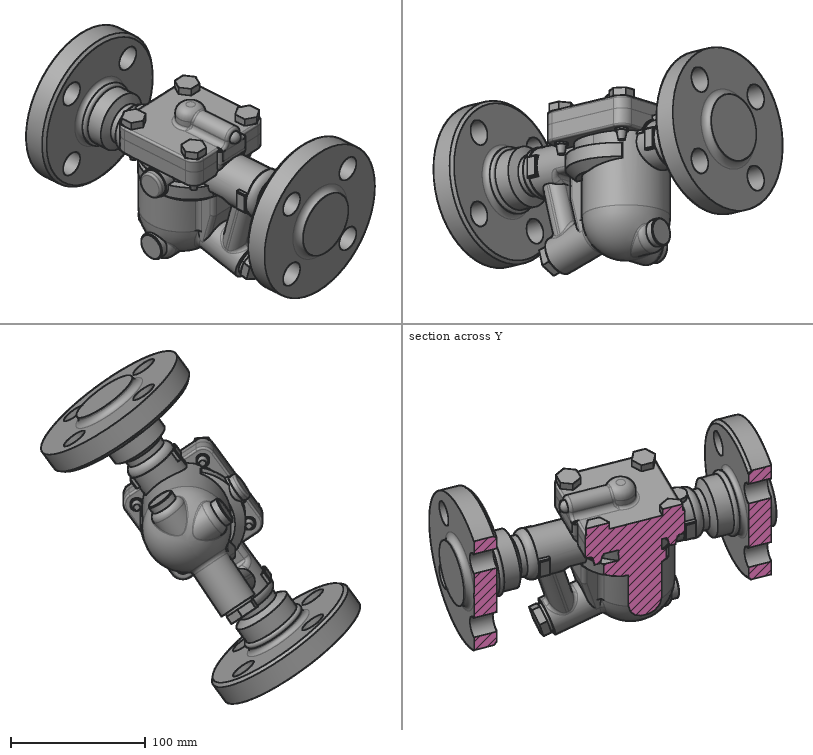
import cadquery as cq
import math


half_length = 125.0
flange_radius = 62.0
flange_outer_x = 119.0
flange_inner_x = 100.5
flange_chamfer = 2.4
raised_face_radius = 25.4
raised_face_fillet = 5.0
hub_foot_radius = 28.25
hub_groove_radius = 24.5
weld_start_x = 96.0
weld_crest_x = 94.6
weld_end_x = 91.9
hub_radius = 23.0
hub_end_x = 79.0
neck_radius = 16.0
neck_start_x = 75.3
neck_end_x = 70.4
collar_radius = 19.6
collar_end_x = 62.9
pipe_radius = 19.0
flange_hole_diameter = 19.0
flange_hole_spacing = 63.0

flat_length = 9.0
flat_height = 16.2
flat_half_span = 20.6
flat_edge_chamfer = 0.8
top_pad_width = 14.0
top_pad_top_z = 21.8
shoulder_radius = 20.0
shoulder_x = -51.2
shoulder_bottom_z = 6.0

cover_x = -10.0
cover_side = 80.0
cover_corner_radius = 9.5
cover_top_z = 32.2
cover_joint_z = 22.0
body_flange_bottom_z = 8.5
cover_edge_fillet = 1.7
bolt_spacing = 60.0
bolt_across_corners = 19.0
bolt_head_height = 6.1
bolt_turn = 30.0
bolt_boss_diameter = 10.0
bolt_boss_height = 1.5
bolt_tip_diameter = 5.0
bolt_taper_diameter = 8.0
bolt_tip_z = 0.0

dome_radius = 11.5
dome_top_z = 47.3
dome_rounding = 8.0
dome_foot_fillet = 2.4
arm_radius = 8.0
arm_axis_z = 37.3
arm_end_x = 33.7
arm_foot_fillet = 4.8
arm_end_fillet = 2.5
arm_root_fillet = 2.5
nipple_radius = 5.0

bowl_x = -18.0
bowl_radius = 33.0
bowl_bottom_z = -82.08
bowl_center_z = bowl_bottom_z + bowl_radius

seat_radius = 33.0
band_radius = 39.3
band_left_x = -38.0
band_right_x = 26.2
band_top_z = -1.3
band_bottom_z = -12.0
band_slope_end_z = -18.5
band_slope_end_radius = 31.5

column_width = 30.0
column_top_z = 30.3
column_step_z = 18.8
column_knee_z = -30.5
column_fillet = 3.4
column_blend_radius = 5.0

side_plug_z = -3.3
side_plug_diameter = 21.0
side_plug_end_y = -45.3
side_plug_fillet = 1.8
side_boss_diameter = 23.0
side_boss_end_y = -40.0

drain_z = -67.3
drain_plug_diameter = 21.0
drain_plug_reach = 35.2
drain_plug_chamfer = 0.7
drain_boss_diameter = 28.2
drain_boss_reach = 29.6
drain_boss_rounding = 6.0
drain_root_fillet = 1.5
drain_directions = ((-1, 0, 0), (0, -1, 0))

strainer_angle = 15.0
strainer_diameter = 30.0
strainer_length = 69.2
strainer_blend_radius = 4.0
cap_seat_diameter = 23.0
cap_start = 71.5
cap_end = 78.0
cap_across_corners = 25.4
bypass_x = 52.3
bypass_depth = 26.0
bypass_width = 19.0
bypass_corner_radius = 8.5
bypass_foot_fillet = 3.2
bypass_length = 67.0
window_right_x = 38.6
window_top_z = -8.5
window_fillet = 2.5
window_edge_rounding = 4.5


def cylinder(diameter, start, end, origin=(0, 0, 0), direction=(0, 0, 1)):
    """Round bar along a direction, between two distances from the origin."""
    axis = cq.Vector(*direction)
    base = cq.Vector(*origin) + axis * start
    return cq.Workplane(obj=cq.Solid.makeCylinder(diameter / 2, end - start, base, axis))


def block(x0, x1, y0, y1, z0, z1):
    """Rectangular block between two limits on each axis."""
    return cq.Workplane("XY").box(x1 - x0, y1 - y0, z1 - z0, centered=False).translate((x0, y0, z0))


def end_connection():
    """Flange, hub, neck and collar of the inlet side, as one turned profile."""
    bend = math.sqrt(0.5)
    face_fillet_x = flange_outer_x + raised_face_fillet
    face_foot_radius = raised_face_radius + raised_face_fillet
    face_mid_x = face_fillet_x - raised_face_fillet * bend
    face_mid_radius = face_foot_radius - raised_face_fillet * bend
    hub_fillet = hub_foot_radius - hub_groove_radius
    hub_fillet_x = flange_inner_x - hub_fillet
    hub_mid_x = hub_fillet_x + hub_fillet * bend
    hub_mid_radius = hub_foot_radius - hub_fillet * bend
    collar_round_x = (neck_end_x - collar_end_x) * bend + collar_end_x
    collar_round_radius = neck_radius + (collar_radius - neck_radius) * bend
    profile = (
        cq.Workplane("XY")
        .moveTo(-half_length, 0)
        .lineTo(-half_length, raised_face_radius)
        .lineTo(-face_fillet_x, raised_face_radius)
        .threePointArc((-face_mid_x, face_mid_radius), (-flange_outer_x, face_foot_radius))
        .lineTo(-flange_outer_x, flange_radius)
        .lineTo(-flange_inner_x - flange_chamfer, flange_radius)
        .lineTo(-flange_inner_x, flange_radius - flange_chamfer)
        .lineTo(-flange_inner_x, hub_foot_radius)
        .threePointArc((-hub_mid_x, hub_mid_radius), (-hub_fillet_x, hub_groove_radius))
        .lineTo(-weld_start_x, hub_groove_radius)
        .threePointArc((-weld_crest_x, raised_face_radius), (-weld_end_x, hub_radius))
        .lineTo(-hub_end_x, hub_radius)
        .lineTo(-neck_start_x, neck_radius)
        .lineTo(-neck_end_x, neck_radius)
        .threePointArc((-collar_round_x, collar_round_radius), (-collar_end_x, collar_radius))
        .lineTo(-collar_end_x, 0)
        .close()
    )
    connection = profile.revolve(360, (0, 0, 0), (1, 0, 0))
    holes = (
        cq.Workplane("YZ", origin=(-half_length, 0, 0))
        .rect(flange_hole_spacing, flange_hole_spacing, forConstruction=True)
        .vertices()
        .circle(flange_hole_diameter / 2)
        .extrude(half_length - hub_end_x)
    )
    return connection.cut(holes)


def pipe_run():
    """Both end connections joined by the pipe, with a window beside the duct column."""
    inlet = end_connection()
    outlet = inlet.mirror("YZ")
    pipe = cylinder(2 * pipe_radius, -collar_end_x, collar_end_x, direction=(1, 0, 0))
    window = block(
        band_right_x - column_fillet, window_right_x,
        -collar_radius, collar_radius,
        -2 * pipe_radius, window_top_z,
    ).edges("|Y and >Z and >X").fillet(window_fillet)
    pipe = pipe.cut(window).edges("%BSPLINE").fillet(window_edge_rounding)
    return inlet.union(pipe).union(outlet)


def wrench_flats():
    """Pads on both sides of the pipe, next to each collar."""
    pads = cq.Workplane("XY")
    for x_center in (-collar_end_x + flat_length / 2, collar_end_x - flat_length / 2):
        pad = (
            cq.Workplane("XY")
            .box(flat_length, 2 * flat_half_span, flat_height)
            .faces("<Y or >Y")
            .chamfer(flat_edge_chamfer)
            .translate((x_center, 0, 0))
        )
        pads = pads.union(pad)
    return pads


def inlet_pad():
    """Round-ended pad on top of the inlet pipe, with the shoulder where the pipe meets the body."""
    pad_radius = top_pad_width / 2
    round_x = -collar_end_x + pad_radius
    tongue = cylinder(top_pad_width, 0, top_pad_top_z, origin=(round_x, 0, 0))
    tongue = tongue.union(block(round_x, cover_x, -pad_radius, pad_radius, 0, top_pad_top_z))
    shoulder = cylinder(2 * shoulder_radius, shoulder_x, cover_x, direction=(1, 0, 0))
    upper_half = block(
        shoulder_x, cover_x,
        -shoulder_radius, shoulder_radius,
        shoulder_bottom_z, shoulder_radius,
    )
    return tongue.union(shoulder.intersect(upper_half))


def bolt_positions():
    """Bolt centres as (x, y, turn), where the turn of the hexagon alternates around the cover."""
    half = bolt_spacing / 2
    return [
        (cover_x + sx * half, sy * half, 0 if sx * sy > 0 else bolt_turn)
        for sx in (-1, 1)
        for sy in (-1, 1)
    ]


def cover_and_flange():
    """Square cover on the matching body flange, with rounded corners and outer edges."""
    plate = (
        cq.Workplane("XY", origin=(cover_x, 0, body_flange_bottom_z))
        .rect(cover_side, cover_side)
        .extrude(cover_joint_z - body_flange_bottom_z)
        .edges("|Z")
        .fillet(cover_corner_radius)
        .faces("<Z")
        .edges()
        .fillet(cover_edge_fillet)
    )
    cover = (
        cq.Workplane("XY", origin=(cover_x, 0, cover_joint_z))
        .rect(cover_side, cover_side)
        .extrude(cover_top_z - cover_joint_z)
        .edges("|Z")
        .fillet(cover_corner_radius)
        .faces(">Z")
        .edges()
        .fillet(cover_edge_fillet)
    )
    return plate.union(cover, clean=False)


def bolts():
    """Hexagon heads on the cover, and the bosses and tapered bolt ends under the body flange."""
    parts = cq.Workplane("XY")
    boss_bottom_z = body_flange_bottom_z - bolt_boss_height
    for x, y, turn in bolt_positions():
        head = (
            cq.Workplane("XY")
            .polygon(6, bolt_across_corners)
            .extrude(bolt_head_height)
            .rotate((0, 0, 0), (0, 0, 1), turn)
            .translate((x, y, cover_top_z))
        )
        boss = cylinder(bolt_boss_diameter, boss_bottom_z, cover_joint_z, origin=(x, y, 0))
        tip = cq.Solid.makeCone(
            bolt_taper_diameter / 2,
            bolt_tip_diameter / 2,
            boss_bottom_z - bolt_tip_z,
            cq.Vector(x, y, boss_bottom_z),
            cq.Vector(0, 0, -1),
        )
        parts = parts.union(head).union(boss).union(cq.Workplane(obj=tip))
    return parts


def dome():
    """Rounded dome on the cover with a filleted foot."""
    bend = math.sqrt(0.5)
    shoulder_z = dome_top_z - dome_rounding
    flat_radius = dome_radius - dome_rounding
    foot_radius = dome_radius + dome_foot_fillet
    foot_top_z = cover_top_z + dome_foot_fillet
    foot_mid = (foot_radius - dome_foot_fillet * bend, foot_top_z - dome_foot_fillet * bend)
    crown_mid = (flat_radius + dome_rounding * bend, shoulder_z + dome_rounding * bend)
    return (
        cq.Workplane("XZ")
        .moveTo(0, cover_joint_z)
        .lineTo(foot_radius, cover_joint_z)
        .lineTo(foot_radius, cover_top_z)
        .threePointArc(foot_mid, (dome_radius, foot_top_z))
        .lineTo(dome_radius, shoulder_z)
        .threePointArc(crown_mid, (flat_radius, dome_top_z))
        .lineTo(0, dome_top_z)
        .close()
        .revolve(360, (0, 0, 0), (0, 1, 0))
        .translate((cover_x, 0, 0))
    )


def outlet_arm():
    """Round-backed arm from the dome to the duct column, with a ball-ended nipple."""
    bend = math.sqrt(0.5)
    foot_y = arm_radius + arm_foot_fillet
    foot_top_z = cover_top_z + arm_foot_fillet
    foot_mid_y = foot_y - arm_foot_fillet * bend
    foot_mid_z = foot_top_z - arm_foot_fillet * bend
    arm = (
        cq.Workplane("YZ", origin=(cover_x, 0, 0))
        .moveTo(-foot_y, cover_joint_z)
        .lineTo(-foot_y, cover_top_z)
        .threePointArc((-foot_mid_y, foot_mid_z), (-arm_radius, foot_top_z))
        .lineTo(-arm_radius, arm_axis_z)
        .threePointArc((0, arm_axis_z + arm_radius), (arm_radius, arm_axis_z))
        .lineTo(arm_radius, foot_top_z)
        .threePointArc((foot_mid_y, foot_mid_z), (foot_y, cover_top_z))
        .lineTo(foot_y, cover_joint_z)
        .close()
        .extrude(arm_end_x - cover_x)
    )
    crown = arm.faces(">X").edges(">Z").fillet(arm_end_fillet)
    nipple = cq.Workplane("XY").sphere(nipple_radius).translate((arm_end_x, 0, arm_axis_z))
    return crown.union(nipple)


def cover_top():
    """Dome and outlet arm joined by a fillet along their meeting curve."""
    return dome().union(outlet_arm()).edges("%BSPLINE").fillet(arm_root_fillet)


def bowl():
    """Float bowl: a cylinder closed by a hemisphere."""
    shell = cylinder(2 * bowl_radius, bowl_center_z, body_flange_bottom_z, origin=(bowl_x, 0, 0))
    bottom = cq.Workplane("XY").sphere(bowl_radius).translate((bowl_x, 0, bowl_center_z))
    return shell.union(bottom)


def seat_band():
    """Cover seat and the thick band below it, whose underside slopes back into the bowl."""
    seat = cylinder(2 * seat_radius, band_bottom_z, cover_joint_z, origin=(cover_x, 0, 0))
    band = (
        cq.Workplane("XZ")
        .moveTo(0, band_top_z)
        .lineTo(band_radius, band_top_z)
        .lineTo(band_radius, band_bottom_z)
        .lineTo(band_slope_end_radius, band_slope_end_z)
        .lineTo(0, band_slope_end_z)
        .close()
        .revolve(360, (0, 0, 0), (0, 1, 0))
        .translate((cover_x, 0, 0))
    )
    limits = block(
        band_left_x, band_right_x,
        -band_radius, band_radius,
        band_slope_end_z, cover_joint_z,
    )
    return seat.union(band).intersect(limits)


def duct_column():
    """Flat-sided column that carries the duct from the cover arm down to the strainer."""
    angle = math.radians(strainer_angle)
    knee_height = (
        (band_right_x - bowl_x) * math.sin(angle)
        + (column_knee_z - bowl_center_z) * math.cos(angle)
    )
    foot_x = band_right_x - knee_height * math.sin(angle)
    foot_z = column_knee_z - knee_height * math.cos(angle)
    column = (
        cq.Workplane("XZ")
        .moveTo(bowl_x, column_top_z)
        .lineTo(arm_end_x, column_top_z)
        .lineTo(arm_end_x, column_step_z)
        .lineTo(band_right_x, band_top_z)
        .lineTo(band_right_x, column_knee_z)
        .lineTo(foot_x, foot_z)
        .lineTo(bowl_x, bowl_center_z)
        .close()
        .extrude(column_width / 2, both=True)
    )
    outer_edges = cq.selectors.BoxSelector(
        (foot_x, -column_width, foot_z),
        (arm_end_x + column_width, column_width, column_top_z),
    )
    return column.edges(outer_edges).edges("not |Y").fillet(column_fillet)


def column_blend():
    """Concave blends that lead the bowl wall into the flat sides of the column."""
    half_width = column_width / 2
    center_y = half_width + column_blend_radius
    center_distance = bowl_radius + column_blend_radius
    reach = math.sqrt(center_distance**2 - center_y**2)
    touch = bowl_radius / center_distance
    middle = (math.atan2(-center_y, -reach) - math.pi / 2) / 2
    mid_x = reach + column_blend_radius * math.cos(middle)
    mid_y = center_y + column_blend_radius * math.sin(middle)
    blend = (
        cq.Workplane("XY", origin=(bowl_x, 0, bowl_center_z))
        .moveTo(0, 0)
        .lineTo(reach * touch, center_y * touch)
        .threePointArc((mid_x, mid_y), (reach, half_width))
        .lineTo(reach, 0)
        .close()
        .extrude(body_flange_bottom_z - bowl_center_z)
    )
    return blend.union(blend.mirror("XZ"), clean=False)


def side_plug():
    """Horizontal plug with a rounded rim on a short boss in the front of the band."""
    origin = (cover_x, 0, side_plug_z)
    toward_front = (0, -1, 0)
    boss = cylinder(side_boss_diameter, 0, -side_boss_end_y, origin, toward_front)
    plug = cylinder(side_plug_diameter, 0, -side_plug_end_y, origin, toward_front)
    return boss.union(plug.faces("<Y").edges().fillet(side_plug_fillet))


def drain_boss(direction):
    """Boss with a rounded rim, pointing sideways out of the bottom of the bowl."""
    origin = (bowl_x, 0, drain_z)
    boss = cylinder(drain_boss_diameter, 0, drain_boss_reach, origin, direction)
    end_face = cq.selectors.DirectionMinMaxSelector(cq.Vector(*direction))
    return boss.faces(end_face).edges().fillet(drain_boss_rounding)


def drain_plug(direction):
    """Plug with a chamfered rim, standing out of its boss."""
    origin = (bowl_x, 0, drain_z)
    plug = cylinder(drain_plug_diameter, 0, drain_plug_reach, origin, direction)
    end_face = cq.selectors.DirectionMinMaxSelector(cq.Vector(*direction))
    return plug.faces(end_face).chamfer(drain_plug_chamfer)


def bowl_with_drains():
    """Bowl with both drain bosses filleted into its bottom, and their plugs."""
    part = bowl()
    for direction in drain_directions:
        part = part.union(drain_boss(direction))
    part = part.edges("%BSPLINE").fillet(drain_root_fillet)
    for direction in drain_directions:
        part = part.union(drain_plug(direction))
    return part


def strainer():
    """Sloping strainer tube from the centre of the bowl bottom, closed by a hexagon cap."""
    angle = math.radians(strainer_angle)
    origin = (bowl_x, 0, bowl_center_z)
    direction = (math.cos(angle), 0, -math.sin(angle))
    tube = cylinder(strainer_diameter, 0, strainer_length, origin, direction)
    seat = cylinder(cap_seat_diameter, 0, cap_start, origin, direction)
    cap_plane = cq.Plane(origin=origin, xDir=(math.sin(angle), 0, math.cos(angle)), normal=direction)
    cap = (
        cq.Workplane(cap_plane)
        .workplane(offset=cap_start)
        .polygon(6, cap_across_corners)
        .extrude(cap_end - cap_start)
    )
    return tube.union(seat).union(cap)


def strainer_blend():
    """Concave ring that leads the bowl bottom into the strainer tube."""
    tube_radius = strainer_diameter / 2
    center_radius = tube_radius + strainer_blend_radius
    center_distance = bowl_radius + strainer_blend_radius
    center_along = math.sqrt(center_distance**2 - center_radius**2)
    touch = bowl_radius / center_distance
    middle = (math.atan2(-center_radius, -center_along) - math.pi / 2) / 2
    mid_along = center_along + strainer_blend_radius * math.cos(middle)
    mid_radius = center_radius + strainer_blend_radius * math.sin(middle)
    return (
        cq.Workplane("XY")
        .lineTo(center_along * touch, center_radius * touch)
        .threePointArc((mid_along, mid_radius), (center_along, tube_radius))
        .lineTo(center_along, 0)
        .close()
        .revolve(360, (0, 0, 0), (1, 0, 0))
        .rotate((0, 0, 0), (0, 1, 0), strainer_angle)
        .translate((bowl_x, 0, bowl_center_z))
    )


def bypass_tube():
    """Flat-sided tube with rounded corners from the outlet pipe to the strainer, square to the strainer."""
    angle = math.radians(strainer_angle)
    plane = cq.Plane(
        origin=(bypass_x, 0, 0),
        xDir=(math.cos(angle), 0, -math.sin(angle)),
        normal=(-math.sin(angle), 0, -math.cos(angle)),
    )
    section = cq.Sketch().rect(bypass_width, bypass_depth).vertices().fillet(bypass_corner_radius)
    return cq.Workplane(plane).placeSketch(section).extrude(bypass_length)


def strainer_branch():
    """Strainer and bypass tube joined by a fillet along their meeting curve."""
    return strainer().union(bypass_tube()).edges("%BSPLINE").fillet(bypass_foot_fillet)


result = cover_and_flange()
for feature in (
    bowl_with_drains(),
    seat_band(),
    duct_column(),
    column_blend(),
    strainer_branch(),
    strainer_blend(),
    bolts(),
    cover_top(),
    side_plug(),
    pipe_run(),
    wrench_flats(),
    inlet_pad(),
):
    result = result.union(feature, clean=False)